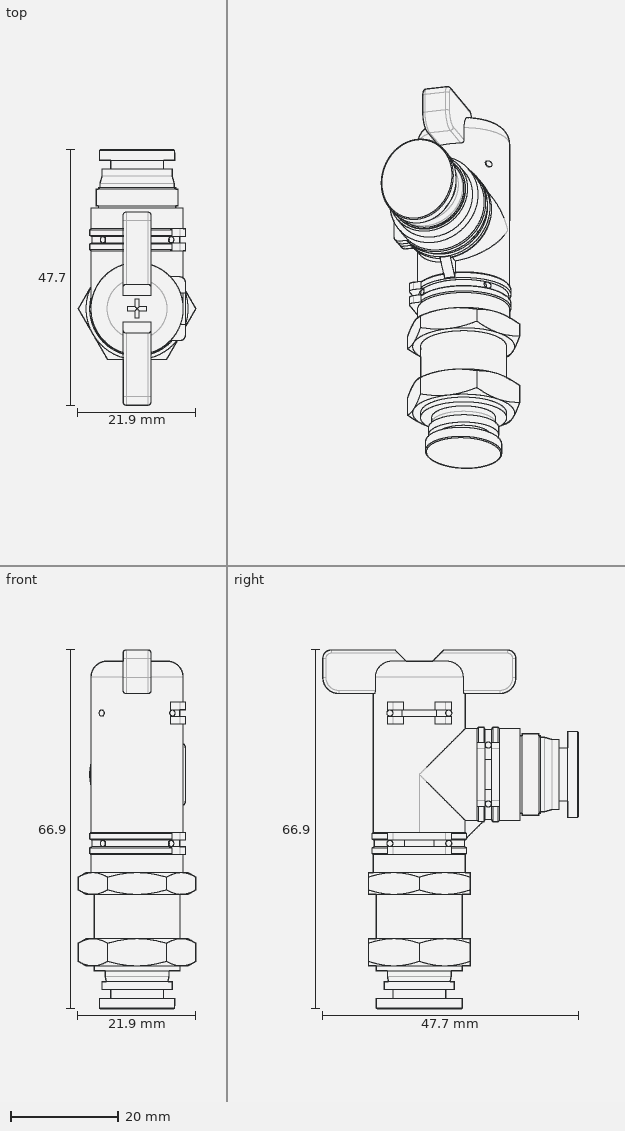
import cadquery as cq
import math

total_height = 66.9
port_end = 29.65
port_axis_z = 43.7

body_diameter = 17.2
body_radius = body_diameter / 2
body_top = 64.8
dome_fillet = 3.0

thread_radius = 8.0
thread_bottom = 7.1
nut_across_flats = 19.0
nut_chamfer_angle = 30.0
lower_nut = (8.0, 13.1)
upper_nut = (21.35, 25.4)

collar_minor_radius = 7.0
collar_major_radius = 8.0
collar_thickness = 2.0
collar_chamfer = 0.2
neck_radius = 4.95
neck_length = 1.6
neck_end = collar_thickness + neck_length

stem_ring_radius = 6.55
stem_ring_top = 5.1
stem_cone_radius = 5.75
stem_cone_top = 6.0
stem_radius = 5.95

port_barrel_end = 18.8
port_gap_radius = 7.2
port_gap_end = 19.1
port_sleeve_radius = 7.6
port_sleeve_end = 22.3
port_land_end = 22.55
port_shoulder_radius = 6.95
port_shoulder_end = 23.3
port_tip_radius = 6.55
port_cone_end = 24.7

clip_distance = 12.85
top_lug_z = 55.1
ring_radius = 8.8
ring_bevel = ring_radius - body_radius
ring_width = 1.5
ring_gap = 1.2
groove_radius = 8.4
lug_face_x = 9.0
lug_half_length = 5.95
lug_fillet = 1.1
lug_notch_width = 5.8
slot_floor_x = lug_face_x - lug_fillet
dimple_diameter = 1.15
dimple_offset = 5.5
dimple_floor_radius = 7.75

handle_half_length = 18.0
handle_width = 5.2
handle_bottom = 58.75
handle_notch_half = 2.5
handle_embed = 0.7
handle_top_fillet = 1.6
handle_bottom_fillet = 3.0
handle_edge_fillet = 0.6

cross_length = 3.55
cross_width = 0.8
cross_depth = cross_length / 2

rib_thickness = 2.0
rib_reach = 12.05
rib_root = 6.0
rib_top = port_axis_z - body_radius
rib_crest = 37.45


def disc(radius, bottom, top):
    return cq.Workplane("XY").workplane(offset=bottom).circle(radius).extrude(top - bottom)


def quarter_turn(solid):
    return solid.rotate((0, 0, 0), (0, 0, 1), 90)


def revolved(points):
    """Turn a (radius, height) outline about the Z axis."""
    return cq.Workplane("XZ").polyline(points).close().revolve(360, (0, 0), (0, 1))


def as_side_port(solid):
    """Move a solid built along +Z so that it lies along +Y on the port axis."""
    return solid.rotate((0, 0, 0), (1, 0, 0), -90).translate((0, 0, port_axis_z))


def release_collar():
    """Oval disc with its outer face at Z = 0, and the neck behind it."""
    oval = (
        cq.Workplane("XY")
        .ellipse(collar_minor_radius, collar_major_radius)
        .extrude(collar_thickness)
        .faces("<Z")
        .chamfer(collar_chamfer)
    )
    return oval.union(disc(neck_radius, collar_chamfer, neck_end))


def nut(bottom, top):
    """Hexagon with corners on the X axis and both ends chamfered."""
    corner_radius = nut_across_flats / math.sqrt(3)
    flat_radius = nut_across_flats / 2
    drop = (corner_radius - flat_radius) * math.tan(math.radians(nut_chamfer_angle))
    hexagon = (
        cq.Workplane("XY").workplane(offset=bottom).polygon(6, 2 * corner_radius).extrude(top - bottom)
    )
    envelope = revolved([
        (0, bottom),
        (flat_radius, bottom),
        (corner_radius, bottom + drop),
        (corner_radius, top - drop),
        (flat_radius, top),
        (0, top),
    ])
    return hexagon.intersect(envelope)


def clip_levels(middle):
    """Bottom and top of the two rings (or lugs) either side of a middle level."""
    inner = ring_gap / 2
    outer = inner + ring_width
    return [(middle - outer, middle - inner), (middle + inner, middle + outer)]


def ringed_outline(middle, bottom, top):
    """Half outline of a barrel with two bevelled rings and a groove between them."""
    (lower_start, lower_end), (upper_start, upper_end) = clip_levels(middle)
    return [
        (0, bottom),
        (body_radius, bottom),
        (body_radius, lower_start),
        (ring_radius, lower_start + ring_bevel),
        (ring_radius, lower_end - ring_bevel),
        (groove_radius, lower_end),
        (groove_radius, upper_start),
        (ring_radius, upper_start + ring_bevel),
        (ring_radius, upper_end - ring_bevel),
        (body_radius, upper_end),
        (body_radius, top),
        (0, top),
    ]


def lug(bottom, top):
    """Flat tab standing out on the +X side."""
    return (
        cq.Workplane("XY")
        .workplane(offset=bottom)
        .center(lug_face_x / 2, 0)
        .rect(lug_face_x, 2 * lug_half_length)
        .extrude(top - bottom)
        .edges("|Z and >X")
        .fillet(lug_fillet)
    )


def outer_slot(width, height):
    """Box that removes the outer part of the lugs, centred on their middle level."""
    slot_depth = lug_face_x - slot_floor_x
    slot = cq.Workplane("XY").box(slot_depth, width, height, centered=(False, True, True))
    return slot.translate((slot_floor_x, 0, 0))


def add_clip(barrel, middle, notched=False):
    """Add two lugs to a barrel, with the slot and the dimples between them."""
    for bottom, top in clip_levels(middle):
        tab = lug(bottom, top)
        if notched:
            notch = outer_slot(lug_notch_width, 2 * ring_width)
            tab = tab.cut(notch.translate((0, 0, (bottom + top) / 2)))
        barrel = barrel.union(tab)
    slot = outer_slot(2 * lug_half_length, ring_gap)
    barrel = barrel.cut(slot.translate((0, 0, middle)))
    drill = (
        cq.Workplane("YZ")
        .pushPoints([(-dimple_offset, 0), (dimple_offset, 0)])
        .circle(dimple_diameter / 2)
        .extrude(body_radius, both=True)
    )
    dimples = drill.cut(disc(dimple_floor_radius, -ring_gap, ring_gap))
    barrel = barrel.cut(dimples.translate((0, 0, middle)))
    return barrel


def main_body():
    stem_clip_z = port_axis_z - clip_distance
    barrel = revolved(ringed_outline(stem_clip_z, upper_nut[1], body_top))
    barrel = barrel.faces(">Z").edges().fillet(dome_fillet)
    return add_clip(add_clip(barrel, stem_clip_z), top_lug_z, notched=True)


def stem():
    steps = revolved([
        (0, neck_end),
        (stem_ring_radius, neck_end),
        (stem_ring_radius, stem_ring_top),
        (stem_cone_radius, stem_ring_top),
        (stem_radius, stem_cone_top),
        (stem_radius, thread_bottom),
        (thread_radius, thread_bottom),
        (thread_radius, upper_nut[1]),
        (0, upper_nut[1]),
    ])
    return release_collar().union(steps).union(nut(*lower_nut)).union(nut(*upper_nut))


def side_port():
    barrel = add_clip(revolved(ringed_outline(clip_distance, 0, port_barrel_end)), clip_distance)
    steps = revolved([
        (0, port_barrel_end),
        (port_gap_radius, port_barrel_end),
        (port_gap_radius, port_gap_end),
        (port_sleeve_radius, port_gap_end),
        (port_sleeve_radius, port_sleeve_end),
        (port_gap_radius, port_sleeve_end),
        (port_gap_radius, port_land_end),
        (port_shoulder_radius, port_land_end),
        (port_shoulder_radius, port_shoulder_end),
        (port_tip_radius, port_cone_end),
        (port_tip_radius, port_end - neck_end),
        (0, port_end - neck_end),
    ])
    collar = release_collar().mirror("XY").translate((0, 0, port_end))
    return as_side_port(barrel.union(steps).union(collar))


def handle():
    """Two wings across the body top, parted by a V notch."""
    notch_top = handle_notch_half + total_height - body_top
    root = handle_notch_half - handle_embed
    wing = (
        cq.Workplane("YZ")
        .polyline([
            (root, handle_bottom),
            (handle_half_length, handle_bottom),
            (handle_half_length, total_height),
            (notch_top, total_height),
            (root, body_top - handle_embed),
        ])
        .close()
        .extrude(handle_width / 2, both=True)
    )
    wing = wing.edges("|X and >Y and >Z").fillet(handle_top_fillet)
    wing = wing.edges("|X and >Y and <Z").fillet(handle_bottom_fillet)
    rim = wing.faces(">Z or >Y or <Z").edges("|Y or |Z")
    wing = rim.fillet(handle_edge_fillet)
    return wing.union(wing.mirror("XZ"))


def cross_recess():
    """Cross-shaped pocket whose floors slope down to a point at the centre."""
    arm = cq.Workplane("XY").box(cross_length, cross_width, 2 * cross_depth)
    valley = (
        cq.Workplane("XZ")
        .polyline([
            (-cross_length / 2, 0),
            (0, -cross_depth),
            (cross_length / 2, 0),
        ])
        .close()
        .extrude(cross_length / 2, both=True)
    )
    pyramid = valley.intersect(quarter_turn(valley))
    return arm.union(quarter_turn(arm)).intersect(pyramid).translate((0, 0, body_top))


def rib():
    """Triangular web in the corner between the body and the side port."""
    return (
        cq.Workplane("YZ")
        .polyline([
            (rib_root, rib_top - rib_reach + rib_root),
            (rib_reach, rib_top),
            (rib_reach, rib_crest),
            (rib_root, rib_crest),
        ])
        .close()
        .extrude(rib_thickness / 2, both=True)
    )


solid = main_body().union(rib()).union(stem()).union(handle())
result = solid.cut(cross_recess()).union(side_port())